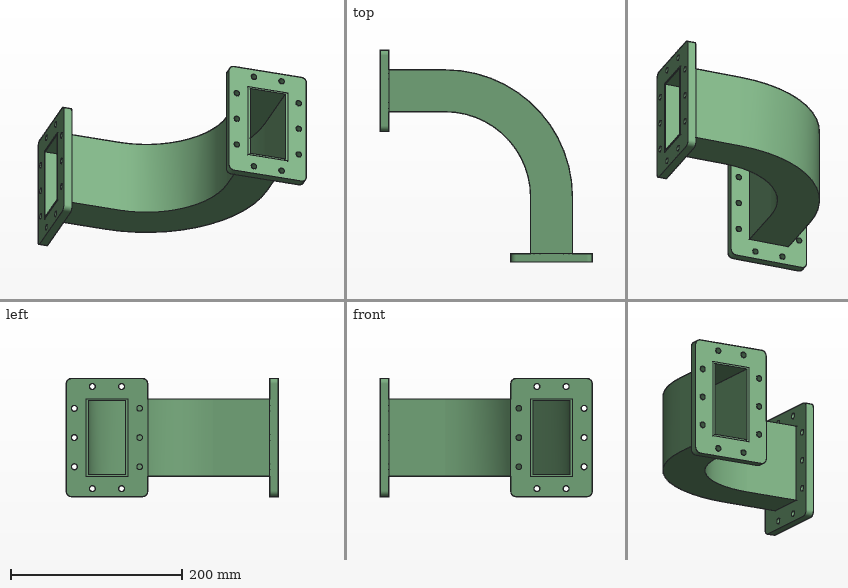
import cadquery as cq

bore_width = 43.18
bore_height = 86.36
side_wall = 3.0
end_wall = 2.03
tube_width = bore_width + 2 * side_wall
tube_height = bore_height + 2 * end_wall

leg_length = 200.0
bend_radius = 124.0

flange_width = 95.25
flange_height = 138.18
flange_thickness = 10.0
flange_corner_radius = 6.35

hole_diameter = 6.63
side_row_offset = 38.1
side_row_pitch = 34.1
end_row_offset = 59.6
end_row_pitch = 34.1

x_end_face = cq.Plane(origin=(-leg_length, 0, 0), xDir=(0, -1, 0), normal=(-1, 0, 0))
y_end_face = cq.Plane(origin=(0, -leg_length, 0), xDir=(1, 0, 0), normal=(0, -1, 0))


def swept_bar(width, height):
    """Rectangular bar swept along the centreline from the -Y end to the -X end."""
    bend_start = -bend_radius
    path = (
        cq.Workplane("XY")
        .moveTo(0, -leg_length)
        .lineTo(0, bend_start)
        .tangentArcPoint((bend_start, 0), relative=False)
        .lineTo(-leg_length, 0)
    )
    return cq.Workplane(y_end_face).rect(width, height).sweep(path)


def make_tube():
    """Hollow bent waveguide, open at both ends."""
    outside = swept_bar(tube_width, tube_height)
    bore = swept_bar(bore_width, bore_height)
    return outside.cut(bore)


def bolt_positions():
    """Three holes along each side and two along the top and bottom."""
    positions = []
    for sign in (-1, 1):
        for step in (-1, 0, 1):
            positions.append((sign * side_row_offset, step * side_row_pitch))
        for step in (-0.5, 0.5):
            positions.append((step * end_row_pitch, sign * end_row_offset))
    return positions


def make_flange(face):
    """Drilled plate behind the given end face, with a window that fits the tube."""
    outline = (
        cq.Sketch()
        .rect(flange_width, flange_height)
        .vertices()
        .fillet(flange_corner_radius)
        .reset()
        .rect(tube_width, tube_height, mode="s")
        .push(bolt_positions())
        .circle(hole_diameter / 2, mode="s")
    )
    return cq.Workplane(face).placeSketch(outline).extrude(-flange_thickness)


tube = make_tube()
flanges = [make_flange(face) for face in (x_end_face, y_end_face)]

result = cq.Compound.makeCompound([tube.val(), *[flange.val() for flange in flanges]])